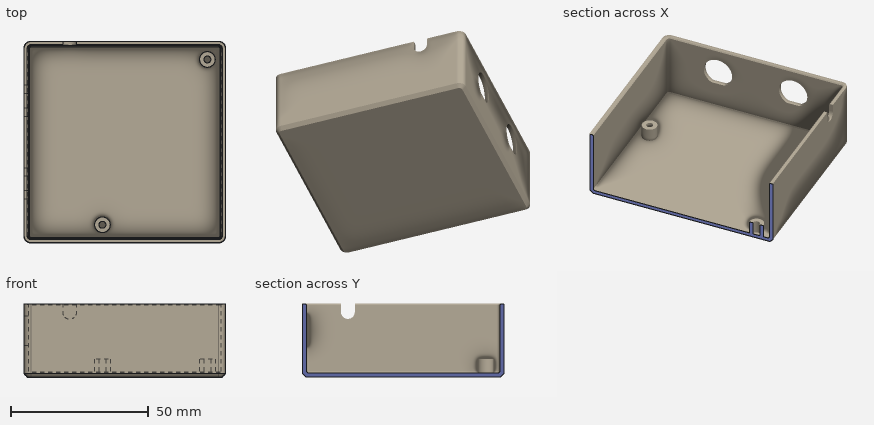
import cadquery as cq

inner_size = 70.0
wall = 1.6
outer_size = inner_size + 2 * wall
height = 26.6
floor = 1.6
inner_corner_radius = 1.0
corner_radius = inner_corner_radius + wall
bottom_chamfer = 1.3
floor_chamfer = 0.4

rim_chamfer = 0.4

standoff_diameter = 5.7
standoff_bore = 2.5
standoff_height = 5.0
standoff_offset = 30.0
front_standoff_x = -8.1
standoff_centers = [(standoff_offset, standoff_offset), (front_standoff_x, -standoff_offset)]

port_diameter = 11.3
port_flat_distance = 5.0
port_spacing = 30.0
port_depth_below_rim = 10.0
port_z = height - port_depth_below_rim

notch_width = 5.0
notch_x = -20.0
notch_depth = 5.5


def rounded_block(size, z_bottom, block_height, radius):
    block = cq.Workplane("XY").workplane(offset=z_bottom).rect(size, size).extrude(block_height)
    return block.edges("|Z").fillet(radius)


def make_shell():
    outer = rounded_block(outer_size, 0, height, corner_radius)
    outer = outer.faces("<Z").edges().chamfer(bottom_chamfer)
    cavity = rounded_block(inner_size, floor, height - floor, inner_corner_radius)
    cavity = cavity.faces("<Z").edges().chamfer(floor_chamfer)
    shell = outer.cut(cavity)
    mouth_edges = shell.faces(">Z").wires().vals()[1].Edges()
    return shell.newObject(mouth_edges).chamfer(rim_chamfer)


def make_standoffs():
    floor_plane = cq.Workplane("XY").workplane(offset=floor).pushPoints(standoff_centers)
    posts = floor_plane.circle(standoff_diameter / 2).extrude(standoff_height)
    bores = floor_plane.circle(standoff_bore / 2).extrude(standoff_height)
    return posts.cut(bores)


def make_port(y_center):
    radius = port_diameter / 2
    depth = 2 * wall
    center_x = -outer_size / 2 + wall / 2
    round_hole = (
        cq.Workplane("YZ")
        .workplane(offset=center_x)
        .center(y_center, port_z)
        .circle(radius)
        .extrude(depth / 2, both=True)
    )
    flat_height = port_flat_distance + radius
    keep = cq.Workplane("XY").box(depth, port_diameter, flat_height, centered=(True, True, False))
    return round_hole.intersect(keep.translate((center_x, y_center, port_z - port_flat_distance)))


def make_notch():
    radius = notch_width / 2
    arc_z = height - notch_depth + radius
    return (
        cq.Workplane("XZ")
        .workplane(offset=-(inner_size / 2 + wall / 2))
        .moveTo(notch_x - radius, height)
        .lineTo(notch_x - radius, arc_z)
        .threePointArc((notch_x, height - notch_depth), (notch_x + radius, arc_z))
        .lineTo(notch_x + radius, height)
        .close()
        .extrude(wall, both=True)
    )


body = make_shell().union(make_standoffs())
for side in (-1, 1):
    body = body.cut(make_port(side * port_spacing / 2))
result = body.cut(make_notch())